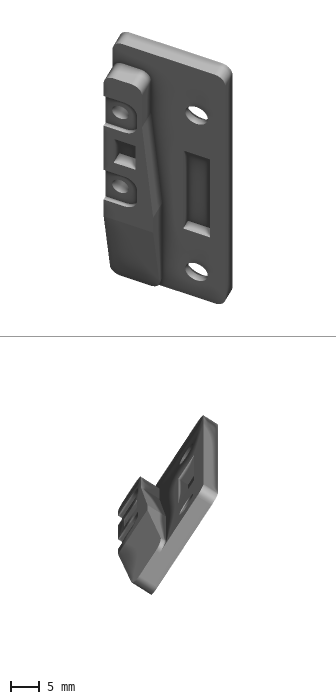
import cadquery as cq
import math

plate_width = 21.5
plate_height = 59.0
plate_thickness = 3.0
total_thickness = 6.85
corner_radius = 2.0

rail_top = 54.0
rail_narrow_width = 7.3
rail_wide_width = 9.45
taper_top = 43.8
taper_bottom = 21.4
ramp_top = 17.6
ramp_foot_thickness = 3.8

mount_hole_diameter = 4.3
mount_hole_x = 16.0
mount_hole_heights = (6.55, 46.9)
mount_hole_land = 1.3
countersink_angle = 90.0
countersink_depth = plate_thickness - mount_hole_land
countersink_slope = math.tan(math.radians(countersink_angle / 2))
countersink_diameter = mount_hole_diameter + 2 * countersink_depth * countersink_slope
rail_hole_diameter = 3.2
rail_hole_x = 2.85
rail_hole_heights = (25.7, 44.8)

recess_width = 6.4
recess_height = 7.65
recess_radius = 2.5
recess_depth = 0.8

rail_pocket_width = 4.2
rail_pocket_height = 6.15
rail_pocket_center = (4.0, 35.35)
rail_pocket_depth = 2.4
plate_pocket_width = 5.1
plate_pocket_height = 20.1
plate_pocket_center = (16.0, 26.65)
plate_pocket_depth = 2.0


def front_plane(depth):
    """Plane facing -Y at the given distance in front of the back face."""
    return cq.Workplane("XZ", origin=(0, -depth, 0))


def make_plate():
    return (
        front_plane(0)
        .rect(plate_width, plate_height, centered=False)
        .extrude(plate_thickness)
        .edges("|Y")
        .fillet(corner_radius)
    )


def make_rail():
    rail = (
        front_plane(0)
        .polyline([
            (0, 0),
            (rail_wide_width, 0),
            (rail_wide_width, taper_bottom),
            (rail_narrow_width, taper_top),
            (rail_narrow_width, rail_top),
            (0, rail_top),
        ])
        .close()
        .extrude(total_thickness)
    )
    rail = rail.faces("<Z or >Z").edges("|Y").fillet(corner_radius)
    ramp_cut = (
        cq.Workplane("YZ")
        .polyline([
            (-ramp_foot_thickness, 0),
            (-total_thickness, ramp_top),
            (-total_thickness, 0),
        ])
        .close()
        .extrude(rail_wide_width)
    )
    return rail.cut(ramp_cut)


def make_holes(diameter, x, heights):
    centers = [(x, z) for z in heights]
    return front_plane(0).pushPoints(centers).circle(diameter / 2).extrude(total_thickness)


def make_countersinks():
    """Cones behind the mounting holes, leaving a straight land at the front of the plate."""
    centers = [(mount_hole_x, z) for z in mount_hole_heights]
    return (
        front_plane(0)
        .pushPoints(centers)
        .circle(countersink_diameter / 2)
        .extrude(countersink_depth, taper=countersink_angle / 2)
    )


def make_recess(center_height):
    return (
        front_plane(total_thickness - recess_depth)
        .center(0, center_height)
        .rect(2 * recess_width, recess_height)
        .extrude(recess_depth)
        .edges("|Y")
        .fillet(recess_radius)
    )


def make_pocket(width, height, center, surface, depth):
    return front_plane(surface - depth).center(*center).rect(width, height).extrude(depth)


result = make_plate().union(make_rail())
result = result.cut(make_holes(mount_hole_diameter, mount_hole_x, mount_hole_heights))
result = result.cut(make_countersinks())
result = result.cut(make_holes(rail_hole_diameter, rail_hole_x, rail_hole_heights))
for hole_height in rail_hole_heights:
    result = result.cut(make_recess(hole_height))
result = result.cut(
    make_pocket(rail_pocket_width, rail_pocket_height, rail_pocket_center,
                total_thickness, rail_pocket_depth)
)
result = result.cut(
    make_pocket(plate_pocket_width, plate_pocket_height, plate_pocket_center,
                plate_thickness, plate_pocket_depth)
)